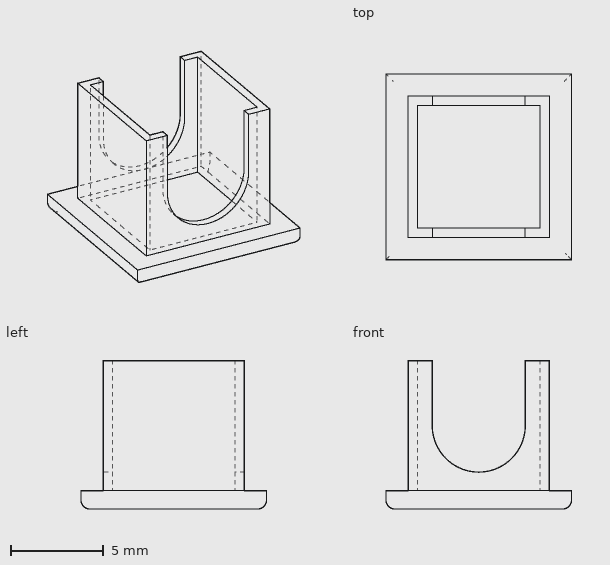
import cadquery as cq

flange_side = 10.0
flange_thickness = 1.0
flange_edge_radius = 0.5

total_height = 8.0
housing_side = 7.6
wall_thickness = 0.5
cavity_side = housing_side - 2 * wall_thickness
housing_height = total_height - flange_thickness

slot_width = 5.0
slot_radius = slot_width / 2
slot_sill_height = 1.0
slot_bottom = flange_thickness + slot_sill_height
slot_center_z = slot_bottom + slot_radius


def make_flange():
    """Square plate with its bottom edges rounded."""
    plate = cq.Workplane("XY").rect(flange_side, flange_side).extrude(flange_thickness)
    return plate.faces("<Z").edges().fillet(flange_edge_radius)


def make_housing():
    """Square tube standing on top of the flange."""
    return (
        cq.Workplane("XY")
        .workplane(offset=flange_thickness)
        .rect(housing_side, housing_side)
        .rect(cavity_side, cavity_side)
        .extrude(housing_height)
    )


def make_slot_cutter():
    """U-shaped prism along Y, open at the top of the housing."""
    return (
        cq.Workplane("XZ")
        .moveTo(-slot_radius, total_height)
        .lineTo(-slot_radius, slot_center_z)
        .threePointArc((0, slot_bottom), (slot_radius, slot_center_z))
        .lineTo(slot_radius, total_height)
        .close()
        .extrude(housing_side / 2, both=True)
    )


result = make_flange().union(make_housing().cut(make_slot_cutter()))